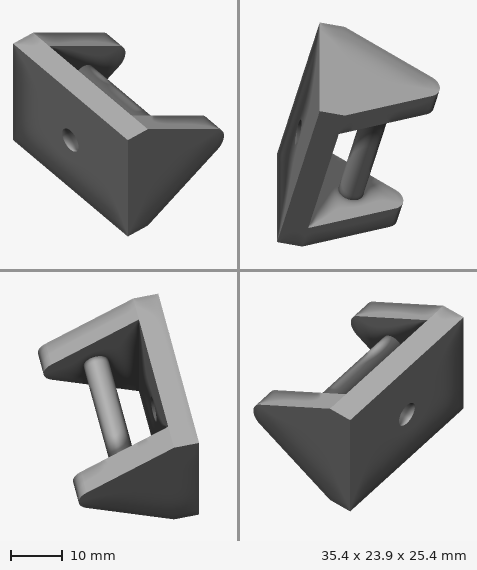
import cadquery as cq
import math

width = 35.4
depth = 23.93
height = 25.4

wall = 5.0
pin_diameter = 5.0
pin_distance = 13.5
hole_diameter = 5.0
ear_slope = math.radians(30)

apex_y = wall + height / 2 / math.tan(ear_slope)
nose_radius = (apex_y - depth) / (1 / math.sin(ear_slope) - 1)
nose_center_y = depth - nose_radius
tangent_y = nose_center_y + nose_radius * math.sin(ear_slope)
tangent_z = nose_radius * math.cos(ear_slope)


def make_ear(start_x):
    """Triangular side ear with a rounded nose, starting at start_x."""
    return (
        cq.Workplane("YZ", origin=(start_x, 0, 0))
        .moveTo(0, -height / 2)
        .lineTo(wall, -height / 2)
        .lineTo(tangent_y, -tangent_z)
        .threePointArc((depth, 0), (tangent_y, tangent_z))
        .lineTo(wall, height / 2)
        .lineTo(0, height / 2)
        .close()
        .extrude(wall)
    )


plate = cq.Workplane("XY").box(width, wall, height).translate((0, wall / 2, 0))

hole = cq.Workplane("XZ").circle(hole_diameter / 2).extrude(-wall)

pin_length = width - wall
pin = (
    cq.Workplane("YZ", origin=(-pin_length / 2, pin_distance, 0))
    .circle(pin_diameter / 2)
    .extrude(pin_length)
)

result = plate.cut(hole).union(pin)
for ear_start_x in (-width / 2, width / 2 - wall):
    result = result.union(make_ear(ear_start_x))